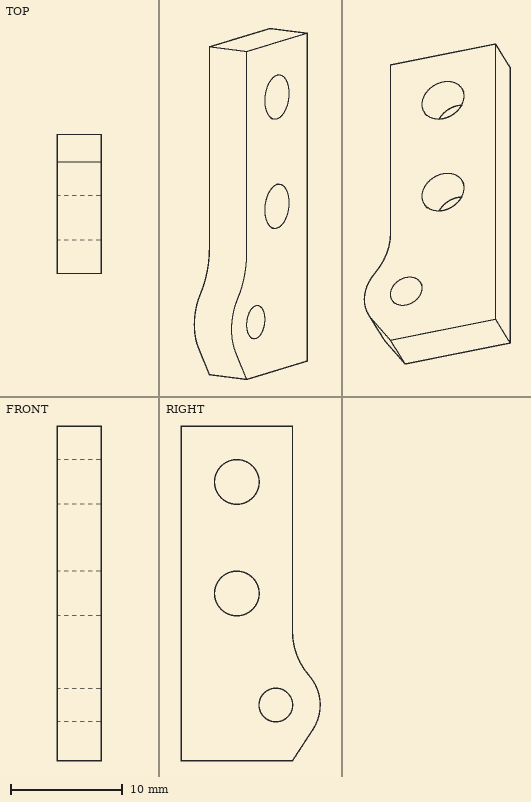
import cadquery as cq
import math

thickness = 4.0
width = 10.0
height = 30.0

mount_diameter = 4.0
mount_y = width / 2
mount_heights = (height / 2, height * 5 / 6)

pivot_diameter = 3.0
lobe_radius = 4.0
lobe_reach = 12.48
pivot_y = lobe_reach - lobe_radius
pivot_z = height / 6

blend_radius = 6.0


def lobe_point(angle):
    """Point of the lobe circle at an angle measured from +Y towards +Z."""
    return (
        pivot_y + lobe_radius * math.cos(angle),
        pivot_z + lobe_radius * math.sin(angle),
    )


def plate_outline():
    """Plate outline in the YZ plane, with tangent transitions onto the lobe."""
    corner_y = width - pivot_y
    corner_distance = math.hypot(corner_y, pivot_z)
    flank_angle = math.atan2(-pivot_z, corner_y) + math.acos(lobe_radius / corner_distance)

    blend_y = width + blend_radius
    centre_distance = lobe_radius + blend_radius
    blend_angle = math.acos((blend_y - pivot_y) / centre_distance)
    blend_z = pivot_z + centre_distance * math.sin(blend_angle)
    middle_angle = math.pi + blend_angle / 2
    blend_middle = (
        blend_y + blend_radius * math.cos(middle_angle),
        blend_z + blend_radius * math.sin(middle_angle),
    )

    return (
        cq.Workplane("YZ")
        .moveTo(0, 0)
        .lineTo(width, 0)
        .lineTo(*lobe_point(flank_angle))
        .threePointArc(lobe_point((flank_angle + blend_angle) / 2), lobe_point(blend_angle))
        .threePointArc(blend_middle, (width, blend_z))
        .lineTo(width, height)
        .lineTo(0, height)
        .close()
    )


def through_hole(y, z, diameter):
    """Cylinder along X that spans the plate thickness."""
    return cq.Workplane("YZ").center(y, z).circle(diameter / 2).extrude(thickness)


result = plate_outline().extrude(thickness)
for mount_z in mount_heights:
    result = result.cut(through_hole(mount_y, mount_z, mount_diameter))
result = result.cut(through_hole(pivot_y, pivot_z, pivot_diameter))